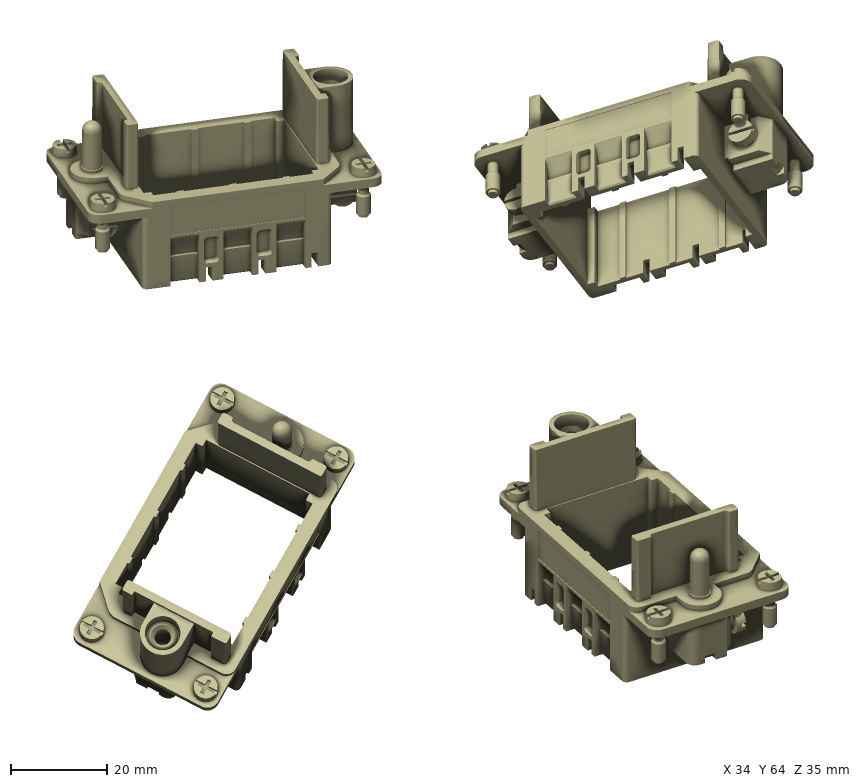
import cadquery as cq
import math

flange_bottom = 16.65
flange_top = 18.6
deck_top = 20.0
plate_top = 35.0
socket_top = 34.0
pin_top = 31.05

width = 34.0
length = 64.0
flange_radius = 2.55
body_length = 41.2
body_radius = 1.1
deck_length = 48.0
deck_left_radius = 2.1
deck_bevel = 5.4
deck_bevel_radius = 2.9

opening_width = 27.7
opening_length = 34.95
narrow_width = 24.5
narrow_length = 38.2
pitch = 11.5
rib_width = 1.5
rib_height = 0.45

notch_width = 1.5
notch_height = 3.25
notch_offset = 5.25
panel_bottom = 11.7
panel_depth = 0.1
pocket_width = 6.35
pocket_top = 11.15
ledge_level = 6.2
ledge_depth = 1.2
bend_level = 3.5
bend_depth = 1.5
pocket_depth = 2.05
foot_level = 0.3
foot_depth = 1.7
slot_width = 3.3
slot_bottom = 4.15
slot_height = 6.0
slot_radius = 0.8
slot_depth = 1.5
slot_taper = 10.0

plate_left = -14.85
plate_right = 9.85
plate_middle = 20.75
plate_top_thickness = 2.55
plate_base_thickness = 2.9
plate_end_thickness = 1.9
plate_envelope = 3.85
recess_left = -11.25
recess_right = 7.4
recess_floor = 21.05
near_recess_flare = 35.0
far_recess_flare = 5.0
near_recess_radius = 0.65
far_recess_radius = 0.2

guide_x = -2.0
guide_y = 26.0
pin_radius = 2.05
pin_collar_radius = 2.25
pin_collar_height = 0.65
lobe_radius = 4.55
socket_radius = 4.75
bore_rim_radius = 3.7
bore_radius = 3.45
bore_depth = 3.1
lip_base_radius = 3.2
lip_radius = 2.5
lip_depth = 2.1
throat_radius = 1.7
throat_start = 2.95
throat_depth = 12.8
drill_angle = 118.0

screw_x = 13.5
screw_y = 28.4
head_base_radius = 2.7
head_top_radius = 2.5
head_height = 2.05
cross_width = 0.8
cross_depth = 0.8
cross_short = 3.3
neck_radius = 1.15
neck_bottom = 13.95
shoulder_radius = 1.3
stud_radius = 1.55
stud_top = 13.6
stud_bottom = 9.3
tip_radius = 1.1
tip_bottom = 8.65

block_left = -6.85
block_right = 1.8
block_end = 30.65
block_bottom = 6.1
block_radius = 2.05
wing_right = 4.0
wing_bottom = 7.55
gap_width = 0.95
gap_top = 8.1
ramp_left = -3.6
ramp_right = -0.8
ramp_size = 1.65
clamp_level = 11.0
clamp_shank_radius = 1.55
clamp_shank_length = 1.55
clamp_head_radius = 2.75
clamp_head_length = 2.1
clamp_slot_width = 0.8
clamp_slot_depth = 1.0
lug_width = 1.6
lug_bottom = 14.6
lug_chamfer = 0.4


def block(x0, x1, y0, y1, z0, z1):
    """Rectangular block between two opposite corners."""
    return cq.Workplane("XY").box(x1 - x0, y1 - y0, z1 - z0, centered=False).translate((x0, y0, z0))


def revolve_profile(points):
    """Solid of revolution about Z from (radius, level) points."""
    return cq.Workplane("XZ").polyline(points).close().revolve(360, (0, 0, 0), (0, 1, 0))


def mirror_y(shape):
    return shape.mirror("XZ")


def frame():
    flange = cq.Workplane("XY", origin=(0, 0, flange_bottom)).rect(width, length)
    flange = flange.extrude(flange_top - flange_bottom).edges("|Z").fillet(flange_radius)
    body = cq.Workplane("XY").rect(width, body_length).extrude(flange_top)
    body = body.edges("|Z").fillet(body_radius)

    side = width / 2
    end = deck_length / 2
    deck_outline = [
        (-side, -end),
        (side - deck_bevel, -end),
        (side, deck_bevel - end),
        (side, end - deck_bevel),
        (side - deck_bevel, end),
        (-side, end),
    ]
    deck = cq.Workplane("XY", origin=(0, 0, flange_top)).polyline(deck_outline).close()
    deck = deck.extrude(deck_top - flange_top)
    deck = deck.edges("|Z and <X").fillet(deck_left_radius)
    deck = deck.edges("|Z and (>Y or <Y)").edges(">X").fillet(deck_bevel_radius)
    return flange.union(body).union(deck)


def opening():
    wide = cq.Workplane("XY").rect(opening_width, opening_length).extrude(deck_top)
    narrow = cq.Workplane("XY").rect(narrow_width, narrow_length).extrude(deck_top)
    ribs = (
        cq.Workplane("XY")
        .rarray(opening_width, pitch, 2, 3)
        .rect(2 * rib_height, rib_width)
        .extrude(deck_top)
    )
    return wide.union(narrow).cut(ribs)


def wall_pocket():
    """Latch pocket in the -X wall: arched roof, ledge and two sloping faces below it."""
    rise = pocket_top - ledge_level
    arch_radius = (pocket_depth**2 + rise**2) / (2 * pocket_depth)
    half_angle = math.asin(rise / arch_radius) / 2
    arch_depth = pocket_depth - arch_radius * (1 - math.cos(half_angle))
    arch_level = ledge_level + arch_radius * math.sin(half_angle)
    profile = (
        cq.Workplane("XZ", origin=(-width / 2, pocket_width / 2, 0))
        .moveTo(0, 0)
        .lineTo(0, pocket_top)
        .threePointArc((arch_depth, arch_level), (pocket_depth, ledge_level))
        .lineTo(ledge_depth, ledge_level)
        .lineTo(bend_depth, bend_level)
        .lineTo(foot_depth, foot_level)
        .lineTo(pocket_depth, 0)
        .close()
    )
    return profile.extrude(pocket_width)


def wall_slot():
    """Shallow tapered slot between two pockets of the -X wall."""
    slot = cq.Workplane("YZ", origin=(-width / 2, 0, slot_bottom + slot_height / 2))
    outline = slot.sketch().rect(slot_width, slot_height).vertices().fillet(slot_radius).finalize()
    return outline.extrude(slot_depth, taper=slot_taper)


def wall_cuts():
    """All cuts in the two long walls."""
    panel_half = pitch + pocket_width / 2
    cuts = block(
        -width / 2, panel_depth - width / 2, -panel_half, panel_half, panel_bottom, flange_top
    )
    for step in (-1, 0, 1):
        cuts = cuts.union(wall_pocket().translate((0, step * pitch, 0)))
    for step in (-0.5, 0.5):
        cuts = cuts.union(wall_slot().translate((0, step * pitch, 0)))
    cuts = cuts.union(cuts.mirror("YZ"))
    for step in (-1, 0, 1):
        middle = notch_offset + step * pitch
        notch = block(
            -width, width, middle - notch_width / 2, middle + notch_width / 2, 0, notch_height
        )
        cuts = cuts.union(notch)
    return cuts


def end_plate(floor_radius, flare_angle):
    """Upright plate at +Y: tapering in thickness, bevelled upright edges, recessed outer face."""
    top_half = plate_top_thickness / 2
    base_half = plate_base_thickness / 2
    taper_outline = [
        (plate_middle - base_half, deck_top),
        (plate_middle + base_half, deck_top),
        (plate_middle + top_half, plate_top),
        (plate_middle - top_half, plate_top),
    ]
    tapered = cq.Workplane("YZ", origin=(plate_left, 0, 0)).polyline(taper_outline).close()
    tapered = tapered.extrude(plate_right - plate_left)

    outer = plate_middle + plate_envelope / 2
    envelope = block(
        plate_left, plate_right, outer - plate_envelope, outer, deck_top, plate_top
    )
    bevel = (plate_envelope - plate_end_thickness) / 2
    envelope = envelope.edges("|Z").chamfer(bevel)

    wall_start = recess_floor + floor_radius
    flare_run = (outer - wall_start) * math.tan(math.radians(flare_angle))
    corner = floor_radius * (1 - math.sqrt(0.5))
    recess = (
        cq.Workplane("XY", origin=(0, 0, deck_top))
        .moveTo(recess_left - flare_run, outer)
        .lineTo(recess_left, wall_start)
        .threePointArc(
            (recess_left + corner, recess_floor + corner),
            (recess_left + floor_radius, recess_floor),
        )
        .lineTo(recess_right - floor_radius, recess_floor)
        .threePointArc(
            (recess_right - corner, recess_floor + corner),
            (recess_right, wall_start),
        )
        .lineTo(recess_right + flare_run, outer)
        .close()
        .extrude(plate_top - deck_top)
    )
    return tapered.intersect(envelope).cut(recess)


def guide_pin():
    """Round-nosed pin on its lobe of the deck."""
    center = (guide_x, -guide_y)
    lobe = cq.Workplane("XY", origin=(*center, flange_top)).circle(lobe_radius)
    lobe = lobe.extrude(deck_top - flange_top)
    neck = block(
        guide_x - lobe_radius,
        guide_x + lobe_radius,
        -guide_y,
        -body_length / 2,
        flange_top,
        deck_top,
    )
    pin = cq.Workplane("XY", origin=(*center, flange_top)).circle(pin_radius)
    nose_level = pin_top - pin_radius
    pin = pin.extrude(nose_level - flange_top)
    nose = cq.Workplane("XY", origin=(*center, nose_level)).sphere(pin_radius)
    collar = cq.Workplane("XY", origin=(*center, flange_top)).circle(pin_collar_radius)
    collar = collar.extrude(deck_top + pin_collar_height - flange_top)
    return lobe.union(neck).union(pin).union(nose).union(collar)


def guide_socket():
    """Tower leaning on the +Y plate, bored for a guide pin."""
    tower = cq.Workplane("XY", origin=(guide_x, guide_y, flange_top)).circle(socket_radius)
    tower = tower.extrude(socket_top - flange_top)
    web = block(
        guide_x - socket_radius,
        guide_x + socket_radius,
        recess_floor,
        guide_y,
        flange_top,
        socket_top,
    )
    point_depth = throat_radius / math.tan(math.radians(drill_angle / 2))
    bore = revolve_profile(
        [
            (0, 0),
            (bore_rim_radius, 0),
            (bore_radius, -bore_depth),
            (lip_base_radius, -bore_depth),
            (lip_radius, -lip_depth),
            (throat_radius, -throat_start),
            (throat_radius, -throat_depth),
            (0, -throat_depth - point_depth),
        ]
    )
    return tower.union(web).cut(bore.translate((guide_x, guide_y, socket_top)))


def mounting_screw():
    """Captive screw with a cross slot, standing on the Z axis."""
    head_top = flange_top + head_height
    screw = revolve_profile(
        [
            (0, head_top),
            (head_top_radius, head_top),
            (head_base_radius, flange_top),
            (neck_radius, flange_top),
            (neck_radius, neck_bottom),
            (shoulder_radius, neck_bottom),
            (stud_radius, stud_top),
            (stud_radius, stud_bottom),
            (tip_radius, stud_bottom),
            (tip_radius, tip_bottom),
            (0, tip_bottom),
        ]
    )
    cross = cq.Workplane("XY", origin=(0, 0, head_top - cross_depth))
    long_slot = cross.rect(2 * head_base_radius, cross_width).extrude(cross_depth)
    short_slot = cross.rect(cross_width, cross_short).extrude(cross_depth)
    return screw.cut(long_slot).cut(short_slot)


def terminal_block():
    """Earth terminal under the -Y end of the flange."""
    wall = -body_length / 2
    core = block(block_left, block_right, -block_end, wall, block_bottom, flange_bottom)
    core = core.edges("|Z and <X and <Y").fillet(block_radius)
    wing_run = wing_right - block_right
    wing_outline = [
        (block_right, wall),
        (block_right, -block_end),
        (wing_right, wing_run - block_end),
        (wing_right, wall),
    ]
    wing = cq.Workplane("XY", origin=(0, 0, wing_bottom)).polyline(wing_outline).close()
    wing = wing.extrude(flange_bottom - wing_bottom)

    gap = block(block_left, wing_right, wall - gap_width, wall, block_bottom, gap_top)
    ramp_outline = [
        (-block_end, block_bottom),
        (-block_end, block_bottom + ramp_size),
        (ramp_size - block_end, block_bottom),
    ]
    ramp = cq.Workplane("YZ", origin=(ramp_left, 0, 0)).polyline(ramp_outline).close()
    ramp = ramp.extrude(ramp_right - ramp_left)

    head_start = wing_right + clamp_shank_length
    head_end = head_start + clamp_head_length
    shank = cq.Workplane("YZ", origin=(wing_right, -guide_y, clamp_level))
    shank = shank.circle(clamp_shank_radius).extrude(clamp_shank_length)
    head = cq.Workplane("YZ", origin=(head_start, -guide_y, clamp_level))
    head = head.circle(clamp_head_radius).extrude(clamp_head_length)
    drive_slot = block(
        head_end - clamp_slot_depth,
        head_end,
        -guide_y - clamp_head_radius,
        -guide_y + clamp_head_radius,
        clamp_level - clamp_slot_width / 2,
        clamp_level + clamp_slot_width / 2,
    )
    lug = block(
        wing_right,
        wing_right + lug_width,
        -guide_y - lug_width / 2,
        -guide_y + lug_width / 2,
        lug_bottom,
        flange_bottom,
    )
    lug = lug.faces("<Z").edges("|Y").chamfer(lug_chamfer)
    terminal = core.union(wing).cut(gap).cut(ramp)
    return terminal.union(shank).union(head.cut(drive_slot)).union(lug)


result = frame().cut(opening()).cut(wall_cuts())
result = result.union(end_plate(far_recess_radius, far_recess_flare))
result = result.union(mirror_y(end_plate(near_recess_radius, near_recess_flare)))
result = result.union(guide_pin()).union(guide_socket())
result = result.union(terminal_block()).union(mirror_y(terminal_block()))
for x in (-screw_x, screw_x):
    for y in (-screw_y, screw_y):
        result = result.union(mounting_screw().translate((x, y, 0)))